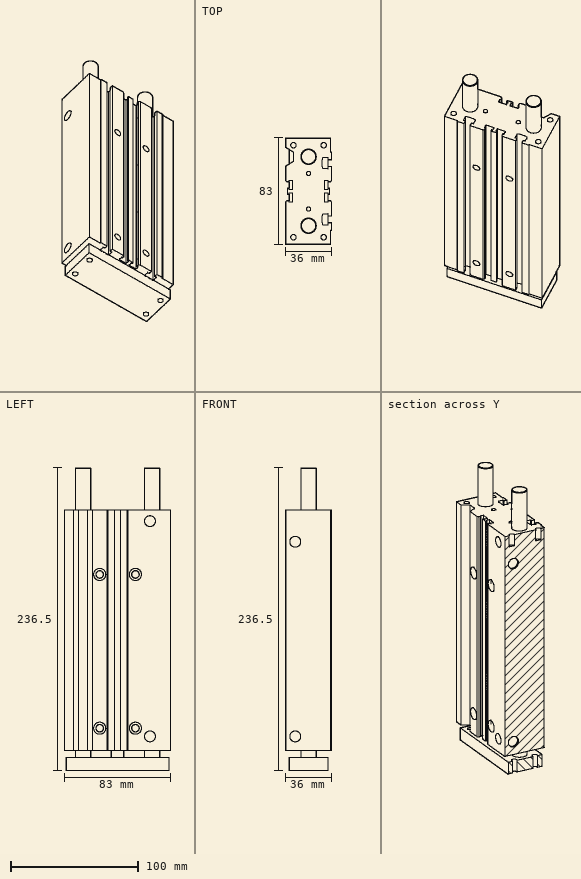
import cadquery as cq
TOTAL_HEIGHT = 236.5
HOUSING_DEPTH_X = 36.0
HOUSING_WIDTH_Y = 83.0
HALF_X = HOUSING_DEPTH_X / 2
HALF_Y = HOUSING_WIDTH_Y / 2

PLATE_X = 30.5
PLATE_Y = 80.5
PLATE_THICKNESS = 10.5
PLATE_HOLE_DIAMETER = 4.3
PLATE_HOLE_X = 9.2
PLATE_HOLE_Y = 35.0

PLATE_GAP = 5.2
ROD_OVERHANG = 32.9
HOUSING_BOTTOM = PLATE_THICKNESS + PLATE_GAP
HOUSING_TOP = TOTAL_HEIGHT - ROD_OVERHANG
HOUSING_HEIGHT = HOUSING_TOP - HOUSING_BOTTOM

GUIDE_DIAMETER = 12.0
GUIDE_Y = 27.0
GUIDE_CENTRES = [(0, -GUIDE_Y), (0, GUIDE_Y)]
GUIDE_CHAMFER = 0.5
PISTON_DIAMETER = 10.0
PISTON_INSERTION = 23.6

PAD_HEIGHT = 0.7
PAD_HALF_WIDTH = 30.5

RAIL_HALF_WIDTH = 8.3
MOUTH_CHAMFER = 1.0
RAIL_LIP_Y = RAIL_HALF_WIDTH - MOUTH_CHAMFER
RIB_HALF_WIDTH = 2.4
RIB_STEM_HALF_WIDTH = 1.5
RIB_RECESS = 1.5
RAIL_NECK_DEPTH = 2.8
RAIL_DEPTH = 5.5

T_SLOT_Y = 22.0
T_NECK_WIDTH = 5.2
T_HEAD_WIDTH = 8.5
T_NECK_DEPTH = 2.8
T_SLOT_DEPTH = 7.3
T_FLOOR_CHAMFER_X = 0.5
T_FLOOR_CHAMFER_Y = 1.7

GROOVE_Y = 27.0
GROOVE_MOUTH_WIDTH = 14.7
GROOVE_FLOOR_WIDTH = 7.0
GROOVE_DEPTH = 6.1

BOLT_DIAMETER = 5.7
BOLT_COUNTERBORE_DIAMETER = 9.5
BOLT_COUNTERBORE_DEPTH = 5.5
BOLT_Y = 14.0
BOLT_LOW = 17.5
BOLT_TOP_DISTANCE = 50.4

PORT_DIAMETER = 8.5
PORT_DEPTH = 6.6
SIDE_PORT_Y = -25.3
SIDE_PORT_TOP_DISTANCE = 8.8
END_PORT_X = -10.5
END_PORT_TOP_DISTANCE = 24.8
PORT_LOW = 11.0

CORNER_HOLE_DIAMETER = 4.3
CORNER_HOLE_DEPTH = 9.5
CORNER_X = 11.8
CORNER_Y = 36.0
SMALL_HOLE_DIAMETER = 3.3
SMALL_HOLE_DEPTH = 9.5


def prism(points):
    """Housing-length prism on an XY outline."""
    base = cq.Workplane("XY").workplane(offset=HOUSING_BOTTOM)
    return base.polyline(points).close().extrude(HOUSING_HEIGHT)


def slab(depth_from, depth_to, y_from, y_to, side):
    """Housing-length block between two depths below the outer X face of one side."""
    x_from = side * (HALF_X - depth_from)
    x_to = side * (HALF_X - depth_to)
    return prism([(x_from, y_from), (x_to, y_from), (x_to, y_to), (x_from, y_to)])


def cylinder_x(diameter, length, y, z):
    """Cylinder running in from the -X face."""
    start = cq.Vector(-HALF_X, y, z)
    return cq.Workplane(cq.Solid.makeCylinder(diameter / 2, length, start, cq.Vector(1, 0, 0)))


def rail_slots(side):
    """Slot pair with a chamfered mouth, narrow necks beside the rib, and wider bottoms."""
    outer_x = side * HALF_X
    chamfer_x = side * (HALF_X - MOUTH_CHAMFER)
    mouth = prism([
        (outer_x, -RAIL_HALF_WIDTH), (chamfer_x, -RAIL_LIP_Y),
        (chamfer_x, RAIL_LIP_Y), (outer_x, RAIL_HALF_WIDTH),
    ])
    cut = mouth.union(slab(0, RIB_RECESS, -RAIL_LIP_Y, RAIL_LIP_Y, side))
    for direction in (-1, 1):
        rib_edge = direction * RIB_HALF_WIDTH
        lip = direction * RAIL_LIP_Y
        cut = cut.union(slab(RIB_RECESS, RAIL_NECK_DEPTH, rib_edge, lip, side))
        stem_edge = direction * RIB_STEM_HALF_WIDTH
        wall = direction * RAIL_HALF_WIDTH
        cut = cut.union(slab(RAIL_NECK_DEPTH, RAIL_DEPTH, stem_edge, wall, side))
    return cut


def t_slot(y):
    """T slot open to +X with bevelled floor corners."""
    neck = T_NECK_WIDTH / 2
    head = T_HEAD_WIDTH / 2
    shoulder_x = HALF_X - T_NECK_DEPTH
    floor_x = HALF_X - T_SLOT_DEPTH
    bevel_x = floor_x + T_FLOOR_CHAMFER_X
    floor = head - T_FLOOR_CHAMFER_Y
    return prism([
        (HALF_X, y - neck), (HALF_X, y + neck),
        (shoulder_x, y + neck), (shoulder_x, y + head),
        (bevel_x, y + head), (floor_x, y + floor),
        (floor_x, y - floor), (bevel_x, y - head),
        (shoulder_x, y - head), (shoulder_x, y - neck),
    ])


def sloped_groove():
    """Trapezoidal groove that narrows towards its floor."""
    mouth = GROOVE_MOUTH_WIDTH / 2
    floor = GROOVE_FLOOR_WIDTH / 2
    floor_x = -HALF_X + GROOVE_DEPTH
    return prism([
        (-HALF_X, GROOVE_Y - mouth), (floor_x, GROOVE_Y - floor),
        (floor_x, GROOVE_Y + floor), (-HALF_X, GROOVE_Y + mouth),
    ])


def bolt_hole(y, z):
    """Through hole along X, counterbored from the -X face."""
    through = cylinder_x(BOLT_DIAMETER, HOUSING_DEPTH_X, y, z)
    counterbore = cylinder_x(BOLT_COUNTERBORE_DIAMETER, BOLT_COUNTERBORE_DEPTH, y, z)
    return through.union(counterbore)


def end_port(z):
    """Port running in from the -Y face."""
    start = cq.Vector(END_PORT_X, -HALF_Y, z)
    return cq.Workplane(cq.Solid.makeCylinder(PORT_DIAMETER / 2, PORT_DEPTH, start, cq.Vector(0, 1, 0)))


def end_holes(points, diameter, depth):
    """Holes down from the top face of the housing."""
    return (
        cq.Workplane("XY").workplane(offset=HOUSING_TOP)
        .pushPoints(points).circle(diameter / 2).extrude(-depth)
    )


def make_housing():
    """Slotted cylinder housing with bores that fit the rods exactly."""
    body = cq.Workplane("XY").box(HOUSING_DEPTH_X, HOUSING_WIDTH_Y, HOUSING_HEIGHT)
    body = body.translate((0, 0, HOUSING_BOTTOM + HOUSING_HEIGHT / 2))
    for side in (-1, 1):
        body = body.cut(slab(0, PAD_HEIGHT, side * PAD_HALF_WIDTH, side * HALF_Y, 1))
        body = body.cut(rail_slots(side))
        body = body.cut(t_slot(side * T_SLOT_Y))
    body = body.cut(sloped_groove())

    for z in (HOUSING_BOTTOM + BOLT_LOW, HOUSING_TOP - BOLT_TOP_DISTANCE):
        for y in (-BOLT_Y, BOLT_Y):
            body = body.cut(bolt_hole(y, z))
    for z in (HOUSING_BOTTOM + PORT_LOW, HOUSING_TOP - SIDE_PORT_TOP_DISTANCE):
        body = body.cut(cylinder_x(PORT_DIAMETER, PORT_DEPTH, SIDE_PORT_Y, z))
    for z in (HOUSING_BOTTOM + PORT_LOW, HOUSING_TOP - END_PORT_TOP_DISTANCE):
        body = body.cut(end_port(z))

    corners = [(x, y) for x in (-CORNER_X, CORNER_X) for y in (-CORNER_Y, CORNER_Y)]
    body = body.cut(end_holes(corners, CORNER_HOLE_DIAMETER, CORNER_HOLE_DEPTH))
    small = [(0, -BOLT_Y), (0, BOLT_Y)]
    body = body.cut(end_holes(small, SMALL_HOLE_DIAMETER, SMALL_HOLE_DEPTH))
    body = body.cut(end_holes(GUIDE_CENTRES, GUIDE_DIAMETER, HOUSING_HEIGHT))
    piston_bore = (
        cq.Workplane("XY").workplane(offset=HOUSING_BOTTOM)
        .circle(PISTON_DIAMETER / 2).extrude(PISTON_INSERTION)
    )
    return body.cut(piston_bore)


def make_carriage():
    """End plate with its two guide rods and the piston rod."""
    plate = cq.Workplane("XY").rect(PLATE_X, PLATE_Y).extrude(PLATE_THICKNESS)
    guides = (
        cq.Workplane("XY").pushPoints(GUIDE_CENTRES)
        .circle(GUIDE_DIAMETER / 2).extrude(TOTAL_HEIGHT)
        .faces(">Z").edges().chamfer(GUIDE_CHAMFER)
    )
    piston = cq.Workplane("XY").circle(PISTON_DIAMETER / 2).extrude(HOUSING_BOTTOM + PISTON_INSERTION)
    mounting_points = [(x, y) for x in (-PLATE_HOLE_X, PLATE_HOLE_X) for y in (-PLATE_HOLE_Y, PLATE_HOLE_Y)]
    mounting_holes = (
        cq.Workplane("XY").pushPoints(mounting_points)
        .circle(PLATE_HOLE_DIAMETER / 2).extrude(PLATE_THICKNESS)
    )
    return plate.union(guides).union(piston).cut(mounting_holes)


housing = make_housing()
carriage = make_carriage()

result = cq.Compound.makeCompound([housing.val(), carriage.val()])